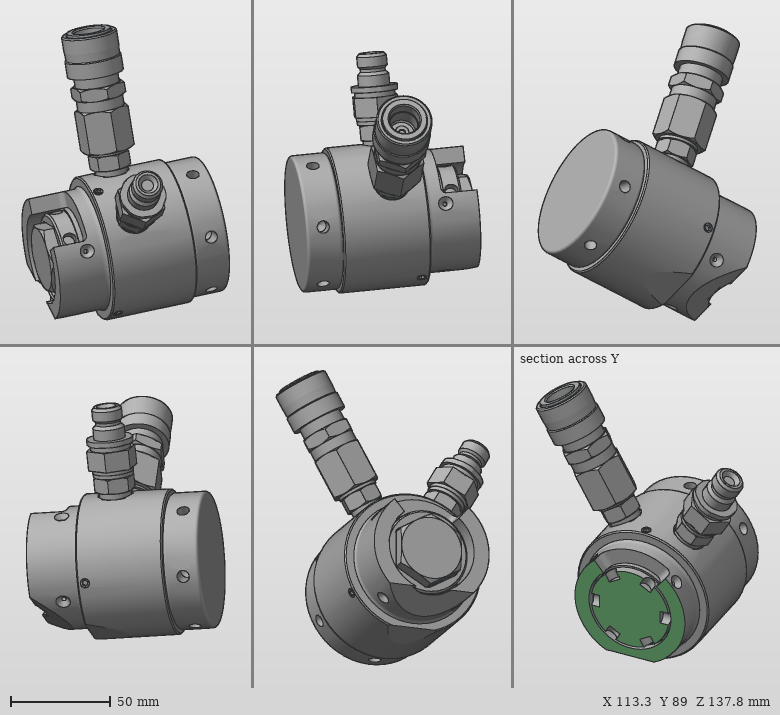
import cadquery as cq
import math

LENGTH = 89.0

BODY_R = 36.8
BODY_FRONT = 26.3
BODY_BACK = 70.8
BODY_CHAMFER = 0.7
BELLY_START = 45.9
BELLY_ANGLE = 7.5

CAP_R = 34.6
CAP_FILLET = 1.5
CAP_HOLE_D = 6.2
CAP_HOLE_DEPTH = 11.0
DRILL_POINT_ANGLE = 118.0
CAP_HOLE_Y = 80.5
CAP_HOLE_COUNT = 6

NOSE_R = 31.0
NOSE_FLARE_R = 32.0
NOSE_FLARE_LENGTH = 2.3
NOSE_BORE_R = 22.9
NOSE_BORE_DEPTH = 15.7
NOSE_FLAT_Z = -21.2
NOSE_FLAT_ANGLE = 30.0
LIP_RELIEF_R = 23.7
WINDOW_HALF_ANGLE = 40.0
WINDOW_DEPTH = 18.2
WINDOW_FILLET = 3.0
SINK_Y = 16.7
SINK_D = 7.3
SINK_PILOT_D = 2.0
SINK_PILOT_DEPTH = 5.5
SINK_ANGLES = (50, 140, 220, 310)

PLUG_R = 21.9
PLUG_FRONT = 6.5
PLUG_CHAMFER = 1.0
PLUG_HOLE_D = 6.6
PLUG_HOLE_DEPTH = 4.8
PLUG_HOLE_Y = 11.6
PLUG_HOLE_COUNT = 6
BOLT_AF = 32.2
BOLT_FRONT = 0.1
SOCKET_AF = 33.8
SOCKET_DEPTH = 1.4
SOCKET_CORNER_R = 18.9

SCREW_Y = 30.3
SCREW_D = 4.7
SCREW_RECESS = 0.4
SCREW_KEY_AF = 2.8
SCREW_KEY_DEPTH = 2.0
SCREW_COUNT = 3

FITTING_Y = 43.3
FITTING_TILT = 30.0
FITTING_ROOT = 27.5
STEM_R = 8.06
SEAT_R = 9.0
BASE_NUT_AF = 18.0
BASE_NUT_BOTTOM = 38.6
BASE_NUT_TOP = 46.6
COLLAR_R = 10.2
HEX_CHAMFER_ANGLE = 30.0


def revolve_z(profile):
    """Solid of revolution about Z from (radius, height) points."""
    return cq.Workplane("XZ").polyline(profile).close().revolve(360, (0, 0, 0), (0, 1, 0))


def cylinder(radius, bottom, top):
    """Cylinder on the Z axis."""
    return cq.Workplane("XY").workplane(offset=bottom).circle(radius).extrude(top - bottom)


def corner_diameter(across_flats):
    return across_flats / math.cos(math.radians(30))


def hex_prism(across_flats, bottom, top, twist=0.0):
    """Hexagonal prism on the Z axis; with no twist a flat faces -Y."""
    prism = cq.Workplane("XY").workplane(offset=bottom)
    prism = prism.polygon(6, corner_diameter(across_flats)).extrude(top - bottom)
    return prism.rotate((0, 0, 0), (0, 0, 1), twist)


def hex_nut(across_flats, bottom, top, twist=0.0, chamfer_bottom=True):
    """Hexagonal prism with its corners turned off conically at the ends."""
    flat_r = across_flats / 2
    corner_r = corner_diameter(across_flats) / 2
    drop = (corner_r - flat_r) * math.tan(math.radians(HEX_CHAMFER_ANGLE))
    profile = [(0, bottom), (flat_r, bottom), (corner_r, bottom + drop)]
    if not chamfer_bottom:
        profile = [(0, bottom), (corner_r, bottom)]
    profile += [(corner_r, top - drop), (flat_r, top), (0, top)]
    return hex_prism(across_flats, bottom, top, twist).intersect(revolve_z(profile))


def face_front(solid):
    """Turn a solid built along +Z so that it points along -Y."""
    return solid.rotate((0, 0, 0), (1, 0, 0), 90)


def place_radially(solid, y, angle):
    """Move a solid built along +Z to station y, turned about Y from +Z toward +X."""
    return solid.rotate((0, 0, 0), (0, 1, 0), angle).translate((0, y, 0))


def even_angles(count, start=0.0):
    return [start + i * 360.0 / count for i in range(count)]


def cut_radially(target, cutter, y, angles):
    for angle in angles:
        target = target.cut(place_radially(cutter, y, angle))
    return target


def wedge_below(z_start, y_start, y_end, angle):
    """Cutter below a plane that leaves the point (y_start, z_start) and drops toward y_end."""
    drop = abs(y_end - y_start) * math.tan(math.radians(angle))
    depth = 2 * BODY_R
    points = [(y_start, z_start), (y_end, z_start - drop), (y_end, -depth), (y_start, -depth)]
    return cq.Workplane("YZ").polyline(points).close().extrude(depth, both=True)


def make_body():
    """Main cylinder with a sloped flat under its front part."""
    profile = [
        (0, BODY_FRONT),
        (BODY_R - BODY_CHAMFER, BODY_FRONT),
        (BODY_R, BODY_FRONT + BODY_CHAMFER),
        (BODY_R, BODY_BACK - BODY_CHAMFER),
        (BODY_R - BODY_CHAMFER, BODY_BACK),
        (0, BODY_BACK),
    ]
    body = cq.Workplane("XY").polyline(profile).close().revolve(360, (0, 0, 0), (0, 1, 0))
    belly_rise = (BELLY_START - BODY_FRONT) * math.tan(math.radians(BELLY_ANGLE))
    body = body.cut(wedge_below(belly_rise - BODY_R, BODY_FRONT, BELLY_START, BELLY_ANGLE))

    screw_hole = cylinder(SCREW_D / 2, BODY_R - SCREW_RECESS, BODY_R + 1.4)
    screw_key = hex_prism(SCREW_KEY_AF, BODY_R - SCREW_KEY_DEPTH, BODY_R)
    return cut_radially(body, screw_hole.union(screw_key), SCREW_Y, even_angles(SCREW_COUNT))


def make_cap():
    """Rounded back cap with drilled spanner holes around it."""
    cap = cq.Workplane("XZ", origin=(0, LENGTH, 0)).circle(CAP_R).extrude(LENGTH - BODY_BACK)
    cap = cap.edges().fillet(CAP_FILLET)
    hole_r = CAP_HOLE_D / 2
    shoulder = CAP_R - CAP_HOLE_DEPTH
    point_height = hole_r / math.tan(math.radians(DRILL_POINT_ANGLE / 2))
    hole = revolve_z([
        (0, shoulder - point_height),
        (hole_r, shoulder),
        (hole_r, CAP_R + 1.4),
        (0, CAP_R + 1.4),
    ])
    return cut_radially(cap, hole, CAP_HOLE_Y, even_angles(CAP_HOLE_COUNT))


def make_window():
    """Cutter for the sector-shaped window in the top of the nose ring."""
    slope = math.tan(math.radians(WINDOW_HALF_ANGLE))
    low = NOSE_BORE_R / 2
    high = NOSE_R + 1.4
    points = [(-low * slope, low), (low * slope, low), (high * slope, high), (-high * slope, high)]
    window = cq.Workplane("XZ").polyline(points).close().extrude(-WINDOW_DEPTH)
    window = window.faces(">Y").edges("not |X").fillet(WINDOW_FILLET)
    return window.cut(face_front(cylinder(NOSE_BORE_R, -LENGTH, LENGTH)))


def make_lip_relief():
    """Cutter that blunts the thin lip where the bore runs out into the sloped flat."""
    run_out = (LIP_RELIEF_R + NOSE_FLAT_Z) / math.tan(math.radians(NOSE_FLAT_ANGLE))
    bore_end = run_out + LIP_RELIEF_R - NOSE_BORE_R
    relief = revolve_z([
        (0, 0),
        (LIP_RELIEF_R, 0),
        (LIP_RELIEF_R, -run_out),
        (NOSE_BORE_R, -bore_end),
        (0, -bore_end),
    ])
    return face_front(relief).intersect(wedge_below(NOSE_FLAT_Z, 0, BODY_FRONT, 0))


def make_nose():
    """Front ring with a bore, a top window, a sloped flat and countersunk holes."""
    flare_rise = NOSE_FLARE_R - NOSE_R
    flare_arc_r = (NOSE_FLARE_LENGTH**2 + flare_rise**2) / (2 * flare_rise)
    flare_start = BODY_FRONT - NOSE_FLARE_LENGTH
    half_turn = math.asin(NOSE_FLARE_LENGTH / flare_arc_r) / 2
    flare_middle = (
        NOSE_R + flare_arc_r * (1 - math.cos(half_turn)),
        flare_start + flare_arc_r * math.sin(half_turn),
    )
    nose = cq.Workplane("XY").lineTo(NOSE_R, 0).lineTo(NOSE_R, flare_start)
    nose = nose.threePointArc(flare_middle, (NOSE_FLARE_R, BODY_FRONT)).lineTo(0, BODY_FRONT)
    nose = nose.close().revolve(360, (0, 0, 0), (0, 1, 0))
    nose = nose.cut(face_front(cylinder(NOSE_BORE_R, -NOSE_BORE_DEPTH, 0)))
    nose = nose.cut(make_window())
    nose = nose.cut(wedge_below(NOSE_FLAT_Z, 0, BODY_FRONT, NOSE_FLAT_ANGLE))
    nose = nose.cut(make_lip_relief())

    sink_r = SINK_D / 2
    pilot_r = SINK_PILOT_D / 2
    sink = revolve_z([
        (0, NOSE_R - SINK_PILOT_DEPTH),
        (pilot_r, NOSE_R - SINK_PILOT_DEPTH),
        (pilot_r, NOSE_R - sink_r + pilot_r),
        (sink_r, NOSE_R),
        (sink_r, NOSE_R + 1.4),
        (0, NOSE_R + 1.4),
    ])
    return cut_radially(nose, sink, SINK_Y, SINK_ANGLES)


def make_plug():
    """Round plug in the nose bore, carrying the hexagon bolt in a shallow socket."""
    plug = cylinder(PLUG_R, -NOSE_BORE_DEPTH, -PLUG_FRONT).faces(">Z").chamfer(PLUG_CHAMFER)
    socket_bottom = -PLUG_FRONT - SOCKET_DEPTH
    socket = hex_prism(SOCKET_AF, socket_bottom, 0, 30)
    socket = socket.intersect(cylinder(SOCKET_CORNER_R, socket_bottom, 0))
    plug = plug.cut(socket)
    bolt = hex_nut(BOLT_AF, -NOSE_BORE_DEPTH, -BOLT_FRONT, 30, chamfer_bottom=False)
    plug = face_front(plug.union(bolt))

    hole = cylinder(PLUG_HOLE_D / 2, PLUG_R - PLUG_HOLE_DEPTH, PLUG_R + 1.4)
    start = 180.0 / PLUG_HOLE_COUNT
    return cut_radially(plug, hole, PLUG_HOLE_Y, even_angles(PLUG_HOLE_COUNT, start))


def make_fitting_base(twist):
    """Stem and lower nut that both fittings share."""
    stem = cylinder(STEM_R, FITTING_ROOT, BASE_NUT_BOTTOM)
    return stem.union(hex_nut(BASE_NUT_AF, BASE_NUT_BOTTOM, BASE_NUT_TOP, twist))


def make_coupler():
    """Female quick coupler: long nut, thin nut and sleeve with an open mouth."""
    base_twist, nut_twist = 11.0, 4.4
    nut_af = 24.1
    nut_bottom, nut_top = 48.1, 70.1
    thin_nut_bottom, thin_nut_top = 75.5, 82.3
    lower_neck_r, upper_neck_r = 11.9, 11.3
    band_r, sleeve_r, waist_r = 14.3, 14.0, 13.8
    sleeve_bottom, sleeve_waist, sleeve_line, sleeve_top = 87.9, 96.5, 101.0, 109.0
    sleeve_chamfer = 0.7
    lip_r, lip_top = 11.2, 110.1
    lip_gap, lip_gap_depth = 0.5, 1.1
    mouth_r, mouth_depth, mouth_chamfer = 7.7, 6.9, 0.7
    inner_r, inner_depth, inner_chamfer = 7.2, 16.5, 0.8
    valve_r, valve_height, valve_hole_r = 3.6, 1.4, 1.8

    shape = make_fitting_base(base_twist)
    shape = shape.union(cylinder(COLLAR_R, BASE_NUT_TOP, nut_bottom))
    shape = shape.union(hex_nut(nut_af, nut_bottom, nut_top, nut_twist))
    shape = shape.union(cylinder(lower_neck_r, nut_top, thin_nut_bottom))
    shape = shape.union(hex_nut(nut_af, thin_nut_bottom, thin_nut_top, nut_twist))
    shape = shape.union(cylinder(upper_neck_r, thin_nut_top, sleeve_bottom))
    shape = shape.union(revolve_z([
        (0, sleeve_bottom),
        (band_r, sleeve_bottom),
        (band_r, sleeve_waist - band_r + waist_r),
        (waist_r, sleeve_waist),
        (sleeve_r, sleeve_line),
        (sleeve_r, sleeve_top - sleeve_chamfer),
        (sleeve_r - sleeve_chamfer, sleeve_top),
        (lip_r + lip_gap, sleeve_top),
        (lip_r + lip_gap, sleeve_top - lip_gap_depth),
        (lip_r, sleeve_top - lip_gap_depth),
        (lip_r, lip_top),
        (0, lip_top),
    ]))

    floor = lip_top - inner_depth
    shape = shape.cut(revolve_z([
        (0, floor),
        (inner_r - inner_chamfer, floor),
        (inner_r, floor + inner_chamfer),
        (inner_r, lip_top - mouth_depth),
        (mouth_r, lip_top - mouth_depth),
        (mouth_r, lip_top - mouth_chamfer),
        (mouth_r + mouth_chamfer, lip_top),
        (0, lip_top),
    ]))
    valve_top = floor + valve_height
    valve = cylinder(valve_r, floor, valve_top)
    return shape.union(valve).cut(cylinder(valve_hole_r, floor, valve_top))


def make_nipple():
    """Male plug nipple: nut, flanged collar and grooved tip."""
    base_twist, nut_twist = -7.3, -5.0
    nut_af = 21.9
    nut_bottom, nut_top = 50.6, 60.6
    washer_r, washer_bottom = 10.5, 48.6
    flange_r, flange_af, flange_bottom, flange_top = 11.7, 22.7, 63.3, 66.0
    shank_r, shank_top = 8.0, 71.5
    groove_r, groove_bottom, groove_top = 6.3, 73.2, 74.7
    tip_r, tip_top = 7.6, 82.4
    tip_face_r, tip_chamfer_height = 6.3, 1.5
    port_mouth_r, port_throat_r, port_floor_r = 5.0, 4.0, 3.0
    port_throat_depth, port_depth = 1.0, 2.2

    shape = make_fitting_base(base_twist)
    shape = shape.union(cylinder(COLLAR_R, BASE_NUT_TOP, washer_bottom))
    shape = shape.union(cylinder(washer_r, washer_bottom, nut_bottom))
    shape = shape.union(hex_prism(nut_af, nut_bottom, nut_top, nut_twist))
    shape = shape.union(cylinder(COLLAR_R, nut_top, flange_bottom))
    flange = hex_prism(flange_af, flange_bottom, flange_top, nut_twist + 30)
    shape = shape.union(flange.intersect(cylinder(flange_r, flange_bottom, flange_top)))
    shape = shape.union(revolve_z([
        (0, flange_top),
        (shank_r, flange_top),
        (shank_r, shank_top),
        (groove_r, groove_bottom),
        (groove_r, groove_top),
        (tip_r, groove_top + tip_r - groove_r),
        (tip_r, tip_top - tip_chamfer_height),
        (tip_face_r, tip_top),
        (0, tip_top),
    ]))

    floor = tip_top - port_depth
    return shape.cut(revolve_z([
        (0, floor),
        (port_floor_r, floor),
        (port_throat_r, tip_top - port_throat_depth),
        (port_mouth_r, tip_top),
        (0, tip_top),
    ]))


def make_seat():
    """Cutter for the bevelled seat that surrounds a fitting stem in the body."""
    saddle = math.sqrt(BODY_R**2 - SEAT_R**2)
    bottom = saddle - SEAT_R + STEM_R
    return revolve_z([(0, bottom), (STEM_R, bottom), (SEAT_R, saddle), (SEAT_R, BODY_R), (0, BODY_R)])


result = make_body().union(make_cap()).union(make_nose()).union(make_plug())
for fitting, tilt in ((make_coupler(), -FITTING_TILT), (make_nipple(), FITTING_TILT)):
    result = result.cut(place_radially(make_seat(), FITTING_Y, tilt))
    result = result.union(place_radially(fitting, FITTING_Y, tilt))